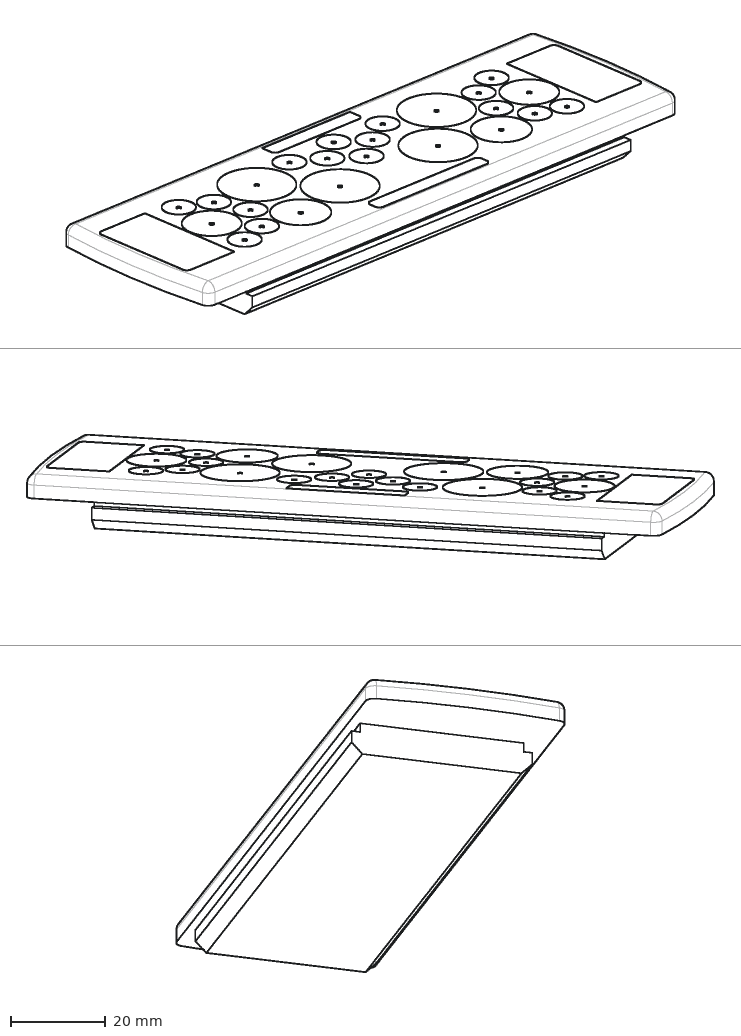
import cadquery as cq

WIDTH = 43.97
LENGTH = 141.72
TOTAL_HEIGHT = 12.0
PLATE_THICKNESS = 5.0
END_ARC_RADIUS = 175.0
EDGE_RADIUS = 2.0

RAIL_OFFSET_X = 1.45
RAIL_WIDTH = 40.0
RAIL_LENGTH = 112.0
RAIL_NECK_INSET = 1.9
RAIL_NECK_HEIGHT = 2.0
RAIL_BEVEL = 2.4

MARK_DEPTH = 0.1
CENTRE_MARK_DIAMETER = 1.0
CENTRE_MARK_DEPTH = 0.2
FIELD_CORNER_RADIUS = 1.2

LABEL_WIDTH = 27.0
LABEL_INNER_Y = 53.55
LABEL_OUTER_Y = 67.6

GRIP_WIDTH = 3.9
GRIP_CENTRE_X = 17.5
LEFT_GRIP_LENGTH = 26.0
RIGHT_GRIP_LENGTH = 33.0

LARGE_DISC_DIAMETER = 16.8
LARGE_DISC_CENTRES = [(-7.2, 26.6), (5.6, 14.5)]
MEDIUM_DISC_DIAMETER = 13.0
MEDIUM_DISC_CENTRES = [(9.2, 29.7)]
END_DISC_DIAMETER = 12.7
END_DISC_CENTRES = [(0.0, 47.0)]
SMALL_DISC_DIAMETER = 7.3
SMALL_DISC_CENTRES = [
    (-10.65, 46.3),
    (10.65, 47.7),
    (-7.3, 39.2),
    (8.4, 40.4),
    (0.85, 36.35),
    (-10.4, 13.8),
    (-6.2, 6.7),
]
MIDDLE_DISC_CENTRES = [(-11.1, 0.0), (-1.2, 0.0)]


def make_plate():
    """Plate with straight sides, bowed ends and rounded corners and top edge."""
    half_width = WIDTH / 2
    half_length = LENGTH / 2
    bow = END_ARC_RADIUS - (END_ARC_RADIUS**2 - half_width**2) ** 0.5
    corner_y = half_length - bow
    return (
        cq.Workplane("XY", origin=(0, 0, TOTAL_HEIGHT - PLATE_THICKNESS))
        .moveTo(-half_width, -corner_y)
        .threePointArc((0, -half_length), (half_width, -corner_y))
        .lineTo(half_width, corner_y)
        .threePointArc((0, half_length), (-half_width, corner_y))
        .close()
        .extrude(PLATE_THICKNESS)
        .edges("|Z")
        .fillet(EDGE_RADIUS)
        .faces(">Z")
        .edges()
        .fillet(EDGE_RADIUS)
    )


def make_rail():
    """Rail with a narrow neck under the plate and 45 degree bevelled lower edges."""
    half_width = RAIL_WIDTH / 2
    half_neck = half_width - RAIL_NECK_INSET
    half_bottom = half_width - RAIL_BEVEL
    rail_top = TOTAL_HEIGHT - PLATE_THICKNESS
    neck_bottom = rail_top - RAIL_NECK_HEIGHT
    right_side = [
        (half_bottom, 0),
        (half_width, RAIL_BEVEL),
        (half_width, neck_bottom),
        (half_neck, neck_bottom),
        (half_neck, rail_top),
    ]
    left_side = [(-x, z) for x, z in reversed(right_side)]
    return (
        cq.Workplane("XZ")
        .polyline(right_side + left_side)
        .close()
        .extrude(RAIL_LENGTH / 2, both=True)
        .translate((RAIL_OFFSET_X, 0, 0))
    )


def field_cutter(width, length, centre, rounded_edges):
    """Shallow rectangular cutter at the top face, rounded on the selected edges."""
    return (
        cq.Workplane("XY", origin=(*centre, TOTAL_HEIGHT - MARK_DEPTH))
        .rect(width, length)
        .extrude(MARK_DEPTH)
        .edges("|Z")
        .edges(rounded_edges)
        .fillet(FIELD_CORNER_RADIUS)
    )


def cut_fields(body):
    """Cut the two end label fields and the two side grip fields."""
    label_length = LABEL_OUTER_Y - LABEL_INNER_Y
    label_y = (LABEL_OUTER_Y + LABEL_INNER_Y) / 2
    for side, outer_edges in ((1, ">Y"), (-1, "<Y")):
        body = body.cut(field_cutter(LABEL_WIDTH, label_length, (0, side * label_y), outer_edges))
    left_grip = field_cutter(GRIP_WIDTH, LEFT_GRIP_LENGTH, (-GRIP_CENTRE_X, 0), ">X")
    right_grip = field_cutter(GRIP_WIDTH, RIGHT_GRIP_LENGTH, (GRIP_CENTRE_X, 0), "|Z")
    return body.cut(left_grip).cut(right_grip)


def cut_round(body, centres, diameter, start_depth, depth):
    """Cut round recesses that start the given distance below the top face."""
    cutter = (
        cq.Workplane("XY", origin=(0, 0, TOTAL_HEIGHT - start_depth))
        .pushPoints(centres)
        .circle(diameter / 2)
        .extrude(-depth)
    )
    return body.cut(cutter)


def cut_discs(body, centres, diameter):
    """Cut shallow discs, each with a small centre mark in its floor."""
    body = cut_round(body, centres, diameter, 0, MARK_DEPTH)
    return cut_round(body, centres, CENTRE_MARK_DIAMETER, MARK_DEPTH, CENTRE_MARK_DEPTH)


def with_mirror(centres):
    """Centres together with their mirror images across the XZ plane."""
    return centres + [(x, -y) for x, y in centres]


result = make_plate().union(make_rail())
result = cut_fields(result)
result = cut_discs(result, with_mirror(LARGE_DISC_CENTRES), LARGE_DISC_DIAMETER)
result = cut_discs(result, with_mirror(MEDIUM_DISC_CENTRES), MEDIUM_DISC_DIAMETER)
result = cut_discs(result, with_mirror(END_DISC_CENTRES), END_DISC_DIAMETER)
result = cut_discs(result, with_mirror(SMALL_DISC_CENTRES) + MIDDLE_DISC_CENTRES, SMALL_DISC_DIAMETER)